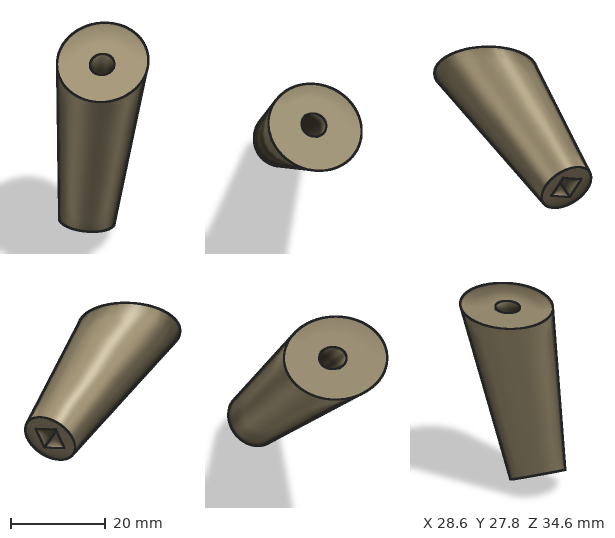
import cadquery as cq

TILT_X = 20.0
TILT_Y = 20.0

AXIS_LENGTH = 36.0
TOP_RADIUS = 9.61
FOOT_RADIUS = 5.9

BORE_DIAMETER = 5.11
SOCKET_SIDE = 5.15
SOCKET_DEPTH = SOCKET_SIDE

OVERRUN = 10.0
TAPER = (TOP_RADIUS - FOOT_RADIUS) / AXIS_LENGTH


def radius_at(height):
    """Cone radius at a height along its axis, measured from where the axis meets the top face."""
    return TOP_RADIUS + TAPER * height


def tapered_body():
    profile = [
        (0, -AXIS_LENGTH),
        (FOOT_RADIUS, -AXIS_LENGTH),
        (radius_at(OVERRUN), OVERRUN),
        (0, OVERRUN),
    ]
    return cq.Workplane("XZ").polyline(profile).close().revolve(360, (0, 0), (0, 1))


def round_bore():
    """Round bore along the whole axis."""
    foot_plane = cq.Workplane("XY").workplane(offset=-AXIS_LENGTH)
    return foot_plane.circle(BORE_DIAMETER / 2).extrude(AXIS_LENGTH + OVERRUN)


def square_socket():
    """Square socket sunk into the foot face."""
    foot_plane = cq.Workplane("XY").workplane(offset=-AXIS_LENGTH)
    return foot_plane.rect(SOCKET_SIDE, SOCKET_SIDE).extrude(SOCKET_DEPTH)


def tilt(shape):
    """Swing the leg so that its foot moves towards +X and -Y."""
    about_y = shape.rotate((0, 0, 0), (0, 1, 0), -TILT_Y)
    return about_y.rotate((0, 0, 0), (1, 0, 0), -TILT_X)


def space_above_top():
    """Block that removes everything above the level top face."""
    width = 4 * radius_at(OVERRUN)
    height = 2 * radius_at(OVERRUN)
    return cq.Workplane("XY").rect(width, width).extrude(height)


leg = tapered_body().cut(round_bore()).cut(square_socket())
result = tilt(leg).cut(space_above_top())